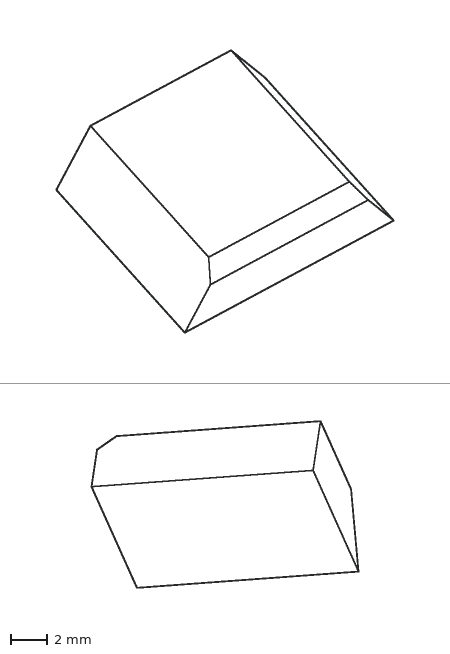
import cadquery as cq
import math

length = 12.5
height = 4.0
top_width = 9.5
flank_angle = 60.0
end_chamfer = 1.0

flank_run = height / math.tan(math.radians(flank_angle))
base_width = top_width + 2 * flank_run


def dovetail_bar():
    """Trapezoidal bar running along X, wide face down at Z = 0."""
    return (
        cq.Workplane("YZ")
        .moveTo(-base_width / 2, 0)
        .lineTo(base_width / 2, 0)
        .lineTo(top_width / 2, height)
        .lineTo(-top_width / 2, height)
        .close()
        .extrude(length)
        .translate((-length / 2, 0, 0))
    )


def chamfer_cutter():
    """Triangular prism that bevels the +X upper edge across the full width."""
    return (
        cq.Workplane("XZ")
        .moveTo(length / 2 - end_chamfer, height)
        .lineTo(length / 2, height)
        .lineTo(length / 2, height - end_chamfer)
        .close()
        .extrude(base_width / 2, both=True)
    )


result = dovetail_bar().cut(chamfer_cutter())